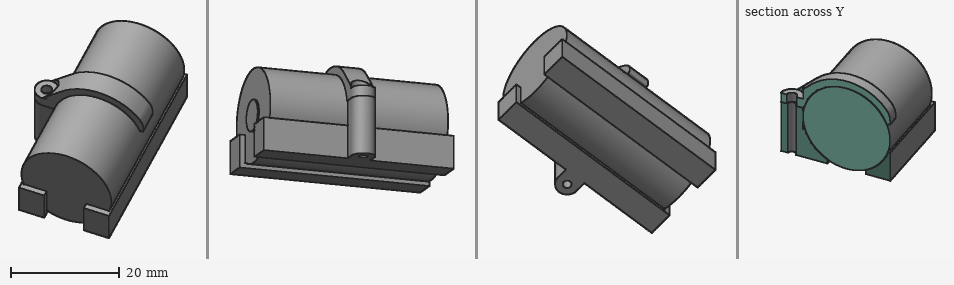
import cadquery as cq
import math

motor_diameter = 18.0
motor_radius = motor_diameter / 2
motor_length = 35.0
boss_diameter = 6.0
boss_height = 0.3
motor_axis_z = motor_radius

rail_length = 37.4
rail_width = 5.05
rail_height = 6.3
pocket_end_gap = 0.15
pocket_length = motor_length + pocket_end_gap

motor_front_y = -pocket_length / 2
motor_back_y = motor_front_y + motor_length

post_diameter = 4.5
post_radius = post_diameter / 2
post_height = 11.0
post_x = -motor_radius - post_radius
pilot_hole_diameter = 1.62
clamp_hole_diameter = 2.0
foot_thickness = 2.0
foot_top_z = post_height + foot_thickness

strap_width = post_diameter
strap_thickness = 1.58
strap_radius = motor_radius + strap_thickness
strap_top_z = motor_axis_z + strap_radius
tip_bottom_z = 12.4
tip_round_radius = 3.6
tip_corner_radius = 0.3


def axis_cylinder(diameter, front_y, length):
    """Cylinder on the motor axis, running toward +Y from front_y."""
    return (
        cq.Workplane("XZ", origin=(0, front_y, motor_axis_z))
        .circle(diameter / 2)
        .extrude(-length)
    )


def post_cylinder(diameter, bottom_z, height):
    """Vertical cylinder on the axis of the clamp screw."""
    return (
        cq.Workplane("XY", origin=(post_x, 0, bottom_z))
        .circle(diameter / 2)
        .extrude(height)
    )


def post_shape(bottom_z, height):
    """Round-nosed column that ends flat at the side of the can."""
    web = cq.Workplane("XY").box(post_radius, post_diameter, height, centered=(False, True, False))
    return post_cylinder(post_diameter, bottom_z, height).union(web.translate((post_x, 0, bottom_z)))


def make_motor():
    can = axis_cylinder(motor_diameter, motor_front_y, motor_length)
    boss = axis_cylinder(boss_diameter, motor_back_y, boss_height)
    return can.union(boss)


def make_rail(side):
    """Rail on the -X side (side = -1) or the +X side (side = 1)."""
    rail_x = side * (motor_radius - rail_width / 2)
    block = (
        cq.Workplane("XY", origin=(rail_x, 0, 0))
        .box(rail_width, rail_length, rail_height, centered=(True, True, False))
    )
    return block.cut(axis_cylinder(motor_diameter, -pocket_length / 2, pocket_length))


def make_post_rail():
    """Rail on the -X side, with the screw post standing against it."""
    pilot_hole = post_cylinder(pilot_hole_diameter, 0, post_height)
    return make_rail(-1).union(post_shape(0, post_height)).cut(pilot_hole)


def on_axis_circle(radius, angle):
    """Point (x, z) on a circle about the motor axis; angle in radians from +X."""
    return (radius * math.cos(angle), motor_axis_z + radius * math.sin(angle))


def strap_profile():
    """Closed XZ outline of the strap, from the foot over the can to the tip."""
    foot_rise = foot_top_z - motor_axis_z
    foot_distance = math.hypot(post_x, foot_rise)
    tangent_angle = math.atan2(foot_rise, post_x) - math.acos(strap_radius / foot_distance)

    round_center_x = motor_radius - tip_round_radius
    round_angle = math.acos(round_center_x / (strap_radius - tip_round_radius))
    round_center_z = motor_axis_z + (strap_radius - tip_round_radius) * math.sin(round_angle)
    round_middle = (
        round_center_x + tip_round_radius * math.cos(round_angle / 2),
        round_center_z + tip_round_radius * math.sin(round_angle / 2),
    )

    inner_end_angle = math.asin((tip_bottom_z - motor_axis_z) / motor_radius)
    inner_foot_angle = math.pi - math.asin((post_height - motor_axis_z) / motor_radius)

    return (
        cq.Workplane("XZ")
        .moveTo(post_x, post_height)
        .lineTo(post_x, foot_top_z)
        .lineTo(*on_axis_circle(strap_radius, tangent_angle))
        .threePointArc(
            on_axis_circle(strap_radius, (tangent_angle + round_angle) / 2),
            on_axis_circle(strap_radius, round_angle),
        )
        .threePointArc(round_middle, (motor_radius, round_center_z))
        .lineTo(motor_radius, tip_bottom_z + tip_corner_radius)
        .radiusArc((motor_radius - tip_corner_radius, tip_bottom_z), tip_corner_radius)
        .lineTo(*on_axis_circle(motor_radius, inner_end_angle))
        .threePointArc(
            on_axis_circle(motor_radius, (inner_end_angle + inner_foot_angle) / 2),
            on_axis_circle(motor_radius, inner_foot_angle),
        )
        .close()
    )


def make_clamp():
    strap = strap_profile().extrude(strap_width / 2, both=True)
    foot = post_cylinder(post_diameter, post_height, foot_thickness)
    head_clearance = post_cylinder(post_diameter, foot_top_z, strap_top_z - foot_top_z)
    screw_hole = post_cylinder(clamp_hole_diameter, post_height, foot_thickness)
    return strap.union(foot).cut(head_clearance).cut(screw_hole)


motor = make_motor()
post_rail = make_post_rail()
plain_rail = make_rail(1)
clamp = make_clamp()

result = cq.Compound.makeCompound([motor.val(), post_rail.val(), plain_rail.val(), clamp.val()])